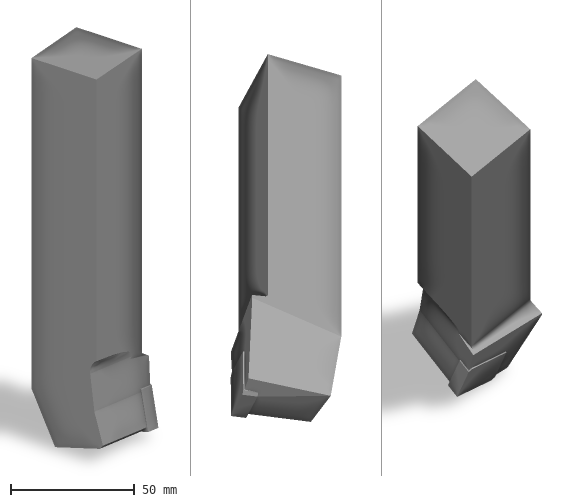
import cadquery as cq
import math

total_length = 175.9
shank_width = 32.0
shank_depth = 32.0
side_draft = 0.0095
underside_z = 1.2

lean_x = 0.126
lean_z = -0.078
back_edge_y = 38.9
back_edge_z = 33.6

ledge_slope = 0.25
ledge_fillet = 1.4

bevel_top = (0.0, 24.5)
bevel_tip = (11.6, underside_z)
nose_lower = (33.6, 7.2)
nose_upper = (35.2, 9.1)
flank_bend = (31.0, 23.4)
relief_radius = 7.0
relief_center = (35.9, 41.0)

insert_nose = (40.1, 4.7)
insert_size = 19.4
insert_thickness = 6.3
insert_turn = math.radians(15)
insert_proud = 0.5
insert_corner = 1.4

margin = 17.6
stock_right = insert_nose[0] + margin
stock_depth = back_edge_y + margin
stock_left = -margin

back_normal = cq.Vector(lean_x, 1, lean_z)


def ledge_height(y):
    return back_edge_z + ledge_slope * (back_edge_y - y)


def make_shank():
    """Square shank with the ledge fillet running across its back."""
    slope_angle = math.atan(ledge_slope)
    center_y = shank_depth + ledge_fillet
    center_z = ledge_height(center_y) + ledge_fillet / math.cos(slope_angle)

    def on_fillet(angle):
        return (center_y + ledge_fillet * math.cos(angle), center_z + ledge_fillet * math.sin(angle))

    wall_angle = math.pi
    ledge_angle = 1.5 * math.pi - slope_angle
    return (
        cq.Workplane("YZ", origin=(stock_left, 0, 0))
        .moveTo(0, underside_z)
        .lineTo(0, total_length)
        .lineTo(shank_depth, total_length)
        .lineTo(*on_fillet(wall_angle))
        .threePointArc(on_fillet((wall_angle + ledge_angle) / 2), on_fillet(ledge_angle))
        .lineTo(stock_depth, ledge_height(stock_depth))
        .lineTo(stock_depth, underside_z)
        .close()
        .extrude(shank_width - stock_left)
    )


def make_head_block():
    """Wide block below the ledge, from which the head is trimmed."""
    outline = [
        (0, underside_z),
        (0, ledge_height(0)),
        (stock_depth, ledge_height(stock_depth)),
        (stock_depth, underside_z),
    ]
    return (
        cq.Workplane("YZ", origin=(stock_left, 0, 0))
        .polyline(outline)
        .close()
        .extrude(stock_right - stock_left)
    )


def envelope_wire(y):
    """Front outline of the holder, shifted along the lean axis to depth y."""
    def on_relief(angle):
        return (
            relief_center[0] + relief_radius * math.cos(angle),
            relief_center[1] + relief_radius * math.sin(angle),
        )

    bevel_slope = (bevel_top[1] - bevel_tip[1]) / (bevel_top[0] - bevel_tip[0])
    bevel_end = (stock_left, bevel_top[1] + bevel_slope * (stock_left - bevel_top[0]))
    run_x = relief_center[0] - flank_bend[0]
    run_z = relief_center[1] - flank_bend[1]
    relief_angle = math.asin(relief_radius / math.hypot(run_x, run_z)) - math.atan2(run_x, run_z)
    relief_start = on_relief(math.pi + relief_angle)
    relief_end = on_relief(math.pi / 2)
    envelope_top = total_length + margin
    return (
        cq.Workplane("XZ", origin=(lean_x * y, y, lean_z * y))
        .moveTo(*bevel_end)
        .lineTo(*bevel_tip)
        .lineTo(*nose_lower)
        .lineTo(*nose_upper)
        .lineTo(*flank_bend)
        .lineTo(*relief_start)
        .threePointArc(on_relief(0.75 * math.pi), relief_end)
        .lineTo(stock_right, relief_end[1])
        .lineTo(stock_right, envelope_top)
        .lineTo(stock_left, envelope_top)
        .close()
        .val()
    )


def make_envelope():
    return cq.Workplane(cq.Solid.makeLoft([envelope_wire(0), envelope_wire(stock_depth)], True))


def make_footprint():
    """Plan outline that gives the left face its slight draft."""
    outline = [
        (0, 0),
        (stock_right, 0),
        (stock_right, stock_depth),
        (-side_draft * stock_depth, stock_depth),
    ]
    return cq.Workplane("XY").polyline(outline).close().extrude(total_length)


def make_back_trim():
    """Everything behind the leaning back face."""
    plane = cq.Plane(origin=(0, back_edge_y, back_edge_z), normal=back_normal)
    cover = 4 * total_length
    return cq.Workplane(plane).rect(cover, cover).extrude(total_length)


def make_insert():
    """Square insert parallel to the back face, cutting corner at the lower right."""
    nose_x, nose_z = insert_nose
    nose_y = back_edge_y - lean_x * nose_x - lean_z * (nose_z - back_edge_z) + insert_proud
    up_x = -math.sin(insert_turn)
    up_z = math.cos(insert_turn)
    flank = cq.Vector(up_x, -lean_x * up_x - lean_z * up_z, up_z)
    plane = cq.Plane(origin=(nose_x, nose_y, nose_z), xDir=flank, normal=back_normal)
    short_side = insert_size - insert_corner
    outline = [
        (0, 0),
        (short_side, 0),
        (insert_size, -insert_corner),
        (insert_size, -insert_size),
        (insert_corner, -insert_size),
        (0, -short_side),
    ]
    return cq.Workplane(plane).polyline(outline).close().extrude(-insert_thickness)


insert = make_insert()
holder = (
    make_shank()
    .union(make_head_block())
    .intersect(make_envelope())
    .intersect(make_footprint())
    .cut(make_back_trim())
    .cut(insert)
)

result = cq.Compound.makeCompound([holder.solids().val(), insert.val()])